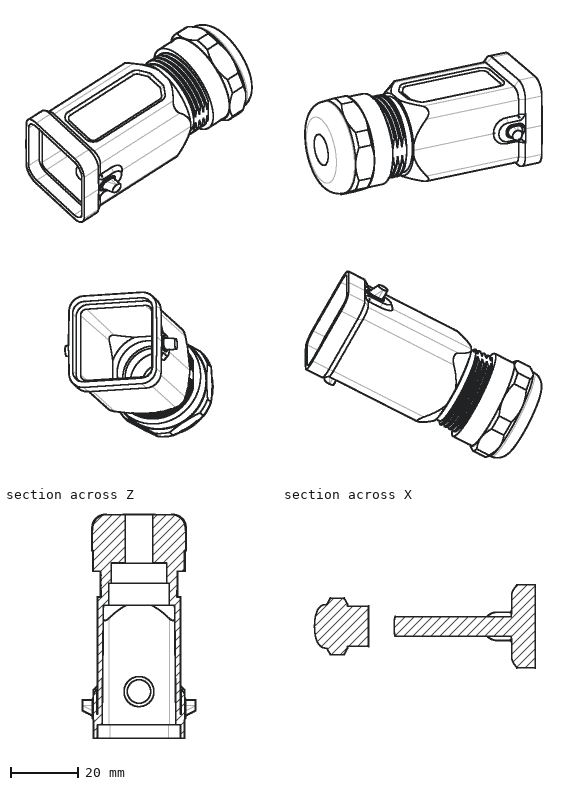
import cadquery as cq
import math


rim_length = 5.5
body_end = 42.0
neck_end = 43.9
collar_start = 49.55
nut_start = 55.75
nut_end = 62.0
total_length = 66.5

body_width_at_middle = 24.8
body_width_at_edge = 24.6
body_height = 24.6
body_corner_radius = 3.0
rim_height = 28.0
rim_width_at_middle = 27.2
rim_width_at_edge = 26.7
rim_corner_radius = 4.5
shoulder_cone_radius = 12.5
shoulder_cone_slope = 0.69

mouth_width = 24.6
mouth_depth = 4.0
mouth_corner_radius = 3.6
pocket_width = 21.9
pocket_end = 39.5
pocket_corner_radius = 1.9
pocket_draft = 0.6
pocket_end_radius = 11.2
thread_bore_radius = 9.2
thread_bore_end = 46.0
seal_bore_radius = 8.5
seal_bore_end = 52.0
cable_bore_radius = 4.67
boss_station = 13.9
boss_base_radius = 4.55
boss_top_radius = 3.48
boss_height = 1.6

pin_span = 33.7
pin_radius = 1.6
pin_station = 9.8
pin_foot_station = 7.9
pin_foot_margin = 0.55
pin_foot_height = 0.3
pin_foot_chamfer = 0.28
pad_station = 11.3
pad_radius = 4.25
pad_flare_station = 7.5

panel_half_width = 7.16
panel_start = 8.3
panel_end = 39.3
panel_end_half_width = 3.1
panel_shoulder = 36.75
panel_corner_radius = 2.7
panel_peak_radius = 2.0
panel_wall = 1.05
panel_depth = 0.5

neck_radius = 11.55
thread_radius = 12.4
thread_depth = 0.8
thread_pitch = 1.5
thread_crest = 0.3
thread_root = 0.2
thread_clearance = 0.2
thread_flat_span = 23.0
collar_radius = 13.8
nut_across_flats = 28.0
nut_corner_diameter = 30.0
nut_chamfer_length = 1.05
nut_chamfer_depth = 1.0
cap_radius = 14.0
cap_round = 4.0

overlap = 0.5


def section_plane(station):
    """Plane across the axis: local x is X, local y is Z, extrusion runs toward +Y."""
    return cq.Plane(origin=(0, station, 0), xDir=(1, 0, 0), normal=(0, -1, 0))


def rounded_prism(start, end, width, height, radius, taper=0.0):
    sketch = cq.Sketch().rect(width, height).vertices().fillet(radius)
    return cq.Workplane(section_plane(start)).placeSketch(sketch).extrude(start - end, taper=taper)


def turned(points):
    """Solid of revolution about Y from (radius, station) points."""
    return cq.Workplane("XY").polyline(points).close().revolve(360, (0, 0, 0), (0, 1, 0))


def cylinder(radius, start, end):
    return cq.Workplane(section_plane(start)).circle(radius).extrude(start - end)


def crowned_sketch(width_at_middle, width_at_edge, height, radius):
    """Rounded rectangle whose two X sides peak slightly at mid height."""
    top = height / 2
    middle = width_at_middle / 2
    edge = width_at_edge / 2
    outline = [(-edge, -top), (edge, -top), (middle, 0), (edge, top), (-edge, top), (-middle, 0), (-edge, -top)]
    return cq.Sketch().polygon(outline).vertices(">Y or <Y").fillet(radius)


def body_sketch():
    return crowned_sketch(body_width_at_middle, body_width_at_edge, body_height, body_corner_radius)


def rim_sketch():
    return crowned_sketch(rim_width_at_middle, rim_width_at_edge, rim_height, rim_corner_radius)


def make_body():
    """Crowned prism with its far corners cut by a cone."""
    body = cq.Workplane(section_plane(0)).placeSketch(body_sketch()).extrude(-body_end)
    cone_base_radius = shoulder_cone_radius + shoulder_cone_slope * body_end
    envelope = turned([(0, 0), (cone_base_radius, 0), (shoulder_cone_radius, body_end), (0, body_end)])
    return body.intersect(envelope)


def make_rim():
    """Mouth rim with a slope down to the body behind it."""
    slope_length = (rim_height - body_height) / 2
    rim = cq.Workplane(section_plane(0)).placeSketch(rim_sketch()).extrude(-rim_length)
    slope = (
        cq.Workplane(section_plane(rim_length))
        .placeSketch(rim_sketch(), body_sketch().moved(cq.Location(cq.Vector(0, 0, -slope_length))))
        .loft(ruled=True)
    )
    return rim.union(slope)


def side_plane(side, offset):
    """Plane facing outward on one side: local x is Y, local y is +Z or -Z."""
    return cq.Plane(origin=(side * offset, 0, 0), xDir=(0, 1, 0), normal=(side, 0, 0))


def make_pad(side):
    """Horseshoe pad with 45 degree edges, flaring out where it joins the rim."""
    height = (rim_width_at_middle - body_width_at_middle) / 2
    front = rim_length - height
    flare = pad_flare_station - front
    return (
        cq.Workplane(side_plane(side, body_width_at_middle / 2))
        .moveTo(front, -pad_radius - flare)
        .lineTo(pad_flare_station, -pad_radius)
        .lineTo(pad_station, -pad_radius)
        .threePointArc((pad_station + pad_radius, 0), (pad_station, pad_radius))
        .lineTo(pad_flare_station, pad_radius)
        .lineTo(front, pad_radius + flare)
        .close()
        .extrude(height, taper=45)
    )


def make_pin(side):
    """Round pin braced by a sloping round toward the mouth, on a slot-shaped foot."""
    base = rim_width_at_middle / 2
    tip = pin_span / 2
    root = base - overlap
    length = tip - root
    straight = cq.Workplane(side_plane(side, root)).center(pin_station, 0).circle(pin_radius).extrude(length)
    brace = (
        cq.Workplane(side_plane(side, root))
        .center(pin_foot_station, 0)
        .circle(pin_radius)
        .workplane(offset=length)
        .center(pin_station - pin_foot_station, 0)
        .circle(pin_radius)
        .loft(ruled=True)
    )
    web = (
        cq.Workplane("XY", origin=(0, 0, -pin_radius))
        .polyline([(side * root, pin_foot_station), (side * root, pin_station), (side * tip, pin_station)])
        .close()
        .extrude(2 * pin_radius)
    )
    foot_radius = pin_radius + pin_foot_margin
    foot_length = pin_station - pin_foot_station + 2 * foot_radius
    foot = (
        cq.Workplane(side_plane(side, root))
        .center((pin_station + pin_foot_station) / 2, 0)
        .slot2D(foot_length, 2 * foot_radius)
        .extrude(overlap + pin_foot_height)
        .faces(">X" if side > 0 else "<X")
        .chamfer(pin_foot_chamfer)
    )
    return straight.union(brace).union(web).union(foot)


def make_panel_cutter():
    """Label recess with sloping walls and a peaked far end."""
    outline = [
        (-panel_half_width, panel_start),
        (panel_half_width, panel_start),
        (panel_half_width, panel_shoulder),
        (panel_end_half_width, panel_end),
        (-panel_end_half_width, panel_end),
        (-panel_half_width, panel_shoulder),
    ]
    wall_angle = math.degrees(math.atan2(panel_wall, panel_depth))
    sketch = cq.Sketch().polygon(outline + outline[:1])
    sketch = sketch.vertices(">Y").fillet(panel_peak_radius)
    sketch = sketch.reset().vertices("<Y or >X or <X").fillet(panel_corner_radius)
    top_plane = cq.Workplane("XY", origin=(0, 0, body_height / 2))
    return top_plane.placeSketch(sketch).extrude(-panel_depth, taper=wall_angle)


def make_thread():
    """Right-hand external thread; its flat X sides break the groove into half turns."""
    flats = cq.Workplane("XY").box(thread_flat_span, 2 * total_length, 4 * thread_radius)
    thread = cylinder(thread_radius, neck_end, collar_start).intersect(flats)
    root = thread_radius - thread_depth
    outside = thread_radius + thread_clearance
    half_mouth = (thread_pitch - thread_crest) / 2
    half_root = thread_root / 2
    half_turn = thread_pitch / 2
    groove = (
        cq.Workplane("XZ")
        .polyline([(root, -half_root), (outside, -half_mouth), (outside, half_mouth), (root, half_root)])
        .close()
        .sweep(cq.Workplane(obj=cq.Wire.makeHelix(thread_pitch, half_turn, root)), isFrenet=True)
        .rotate((0, 0, 0), (1, 0, 0), -90)
    )
    lead_in = 3 * half_turn
    groove_count = math.ceil((collar_start - neck_end + lead_in) / half_turn) + 1
    for index in range(groove_count):
        station = neck_end - lead_in + index * half_turn
        thread = thread.cut(groove.rotate((0, 0, 0), (0, 1, 0), 180 * index).translate((0, station, 0)))
    return thread


def make_nut():
    """Hexagon with two flats facing X, its corners turned round and chamfered at both ends."""
    hexagon = (
        cq.Workplane(section_plane(nut_start))
        .transformed(rotate=(0, 0, 30))
        .polygon(6, nut_across_flats / math.cos(math.pi / 6))
        .extrude(nut_start - nut_end)
    )
    envelope = cylinder(nut_corner_diameter / 2, nut_start, nut_end)
    envelope = envelope.faces("<Y or >Y").chamfer(nut_chamfer_length, nut_chamfer_depth)
    return hexagon.intersect(envelope)


def make_gland():
    neck = cylinder(neck_radius, body_end - overlap, neck_end)
    collar = cylinder(collar_radius, collar_start, nut_start)
    cap = cylinder(cap_radius, nut_end, total_length).faces(">Y").edges().fillet(cap_round)
    return neck.union(make_thread()).union(collar).union(make_nut()).union(cap)


def make_cavity():
    """Stepped mouth, drafted pocket with a coned end, and the bores through the gland."""
    mouth = rounded_prism(0, mouth_depth, mouth_width, mouth_width, mouth_corner_radius)
    pocket = rounded_prism(0, pocket_end, pocket_width, pocket_width, pocket_corner_radius, pocket_draft)
    cone_base_radius = pocket_end_radius + shoulder_cone_slope * pocket_end
    envelope = turned([(0, 0), (cone_base_radius, 0), (pocket_end_radius, pocket_end), (0, pocket_end)])
    thread_bore = cylinder(thread_bore_radius, 0, thread_bore_end)
    seal_bore = cylinder(seal_bore_radius, 0, seal_bore_end)
    cable_bore = cylinder(cable_bore_radius, 0, total_length)
    cavity = mouth.union(pocket.intersect(envelope))
    return cavity.union(thread_bore).union(seal_bore).union(cable_bore)


def make_floor_boss():
    """Conical boss standing on the pocket floor."""
    floor = -pocket_width / 2
    return (
        cq.Workplane("XY", origin=(0, boss_station, floor))
        .circle(boss_base_radius)
        .workplane(offset=boss_height)
        .circle(boss_top_radius)
        .loft()
    )


result = make_body().union(make_rim())
for side in (-1, 1):
    result = result.union(make_pad(side)).union(make_pin(side))
result = result.cut(make_panel_cutter()).union(make_gland())
result = result.cut(make_cavity()).union(make_floor_boss())